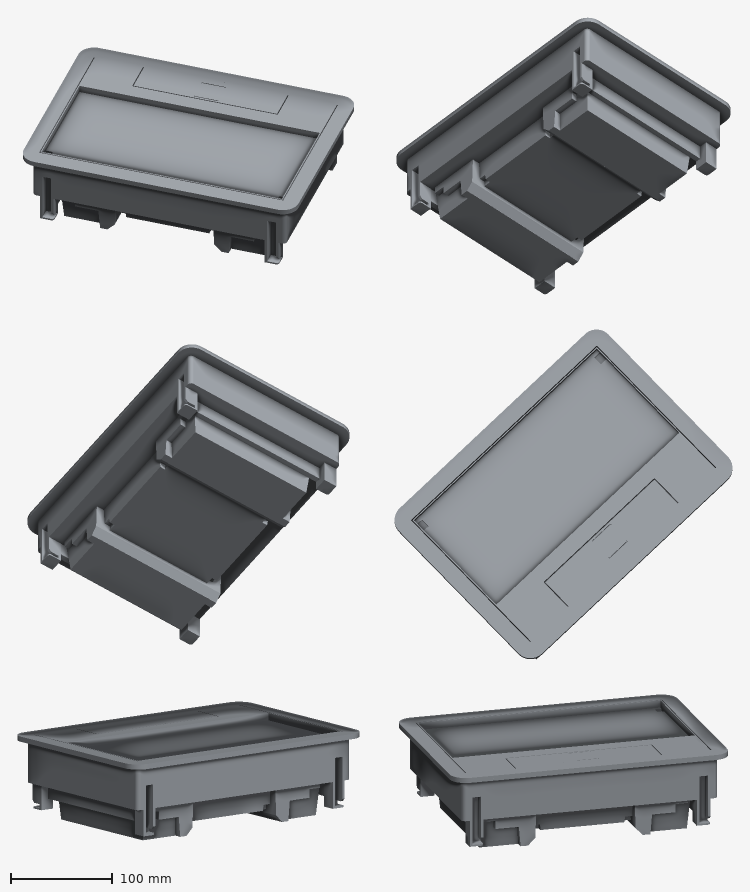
import cadquery as cq
import math

FRAME_LENGTH = 285.0
FRAME_WIDTH = 202.0
FRAME_THICKNESS = 3.0
FRAME_CORNER_RADIUS = 16.2
FLANGE_THICKNESS = 2.0
TOTAL_HEIGHT = 84.5

HOUSING_LENGTH = 262.8
HOUSING_WIDTH = 181.3
HOUSING_CORNER_RADIUS = 4.3
HOUSING_BOTTOM = -48.0
FLANGE_BOTTOM = -(FRAME_THICKNESS + FLANGE_THICKNESS)

POST_SIZE = 14.2
POST_OUTER_X = 123.7
POST_BOTTOM = -74.7
POST_CENTER_X = POST_OUTER_X - POST_SIZE / 2
POST_CENTER_Y = (HOUSING_WIDTH - POST_SIZE) / 2
POST_CORNER_RADIUS = 2.8
CHANNEL_WIDTH = 9.0
CHANNEL_DEPTH = 11.5
CHANNEL_TOP = -24.0
CHANNEL_FLOOR = -73.0
WINDOW_TOP = -69.0
WINDOW_CHAMFER = 2.8

SKIRT_OUTER_X = 115.0
SKIRT_INNER_X = 109.7
SKIRT_BOTTOM = -64.0

OPENING_LENGTH = 253.0
OPENING_WIDTH = 169.3
OPENING_BACK = OPENING_WIDTH / 2
LID_GAP = 1.0
RIM_WIDTH = 1.0
LID_THICKNESS = 11.5
COVERING_RECESS = 7.5
BAR_LENGTH = OPENING_LENGTH - 2 * (LID_GAP + RIM_WIDTH)
BAR_FRONT = 34.5
CORNER_POCKET_LENGTH = 7.0
CORNER_POCKET_WIDTH = 9.0
CORNER_POCKET_DEPTH = 2.0
CORNER_POCKET_FRONT = -78.7

FLAP_LENGTH = 148.8
FLAP_WIDTH = 33.0
FLAP_THICKNESS = 4.0
FLAP_GAP = 1.0
BUTTON_LENGTH = 25.0
BUTTON_WIDTH = 23.0
BUTTON_CENTER_Y = 65.8
BUTTON_THICKNESS = 2.0
BUTTON_GAP = 0.9
BUTTON_CORNER_RADIUS = 1.0

DRAFT_ANGLE = 5.0
DRAFT_SLOPE = math.tan(math.radians(DRAFT_ANGLE))
TROUGH_OUTER_X = SKIRT_INNER_X
TROUGH_INNER_X = 55.5
TROUGH_WIDTH = 139.6
BASE_BOTTOM = -TOTAL_HEIGHT
TRAY_WIDTH = 132.8
TRAY_BOTTOM = -73.0
TRAY_NOTCH_TOP = -67.0
TRAY_NOTCH_DEPTH = 5.7
TRAY_NOTCH_X = 43.5
FOOT_WIDTH = 149.3
FOOT_INNER_X = 50.5
FOOT_INNER_LEAN = 1.0
FOOT_OUTER_X = 68.5
FOOT_CHAMFER = 7.5
FIRST_STEP_X = 105.5
FIRST_STEP_Z = -55.5
SECOND_STEP_X = 92.5
SECOND_STEP_Z = SKIRT_BOTTOM


def block(x_range, y_range, z_range):
    """Box between pairs of X, Y and Z limits."""
    (x0, x1), (y0, y1), (z0, z1) = x_range, y_range, z_range
    return cq.Workplane("XY").box(x1 - x0, y1 - y0, z1 - z0, centered=False).translate((x0, y0, z0))


def rounded_plate(length, width, z_bottom, z_top, radius):
    """Centred plate with rounded vertical corners."""
    plate = block((-length / 2, length / 2), (-width / 2, width / 2), (z_bottom, z_top))
    return plate.edges("|Z").fillet(radius)


def tapered_block(x_range, width, z_bottom):
    """Block hanging from the housing bottom that narrows downwards on all four sides."""
    x0, x1 = x_range
    return (
        cq.Workplane("XY", origin=((x0 + x1) / 2, 0, HOUSING_BOTTOM))
        .rect(x1 - x0, width)
        .extrude(z_bottom - HOUSING_BOTTOM, taper=DRAFT_ANGLE)
    )


def opening_block(inset, z_range):
    """Block filling the opening, inset at the front and both ends but not at the back."""
    half_length = OPENING_LENGTH / 2 - inset
    return block((-half_length, half_length), (inset - OPENING_BACK, OPENING_BACK), z_range)


def make_frame():
    """Flat rim around the opening."""
    plate = rounded_plate(FRAME_LENGTH, FRAME_WIDTH, -FRAME_THICKNESS, 0, FRAME_CORNER_RADIUS)
    return plate.cut(opening_block(0, (-FRAME_THICKNESS, 0)))


def make_post():
    """Post of the front left corner, rounded low on the edge beside its window."""
    post = block(
        (-POST_SIZE / 2, POST_SIZE / 2),
        (-POST_SIZE / 2, POST_SIZE / 2),
        (CHANNEL_FLOOR, HOUSING_BOTTOM),
    )
    sole = block(
        (-POST_SIZE / 2, POST_SIZE / 2),
        (-POST_SIZE / 2, POST_SIZE / 2),
        (POST_BOTTOM, CHANNEL_FLOOR),
    )
    sole = sole.edges("|Z and >X and <Y").fillet(POST_CORNER_RADIUS)
    return post.union(sole)


def make_channel():
    """Clamp channel of a post, open at the front and, near its floor, through the +X wall."""
    front = -POST_SIZE / 2
    back = front + CHANNEL_DEPTH
    channel = block((-CHANNEL_WIDTH / 2, CHANNEL_WIDTH / 2), (front, back), (CHANNEL_FLOOR, CHANNEL_TOP))
    window = (
        cq.Workplane("YZ")
        .moveTo(front, CHANNEL_FLOOR)
        .lineTo(back, CHANNEL_FLOOR)
        .lineTo(back, WINDOW_TOP)
        .lineTo(front + WINDOW_CHAMFER, WINDOW_TOP)
        .lineTo(front, WINDOW_TOP + WINDOW_CHAMFER)
        .close()
        .extrude(POST_SIZE / 2)
    )
    return channel.union(window)


def at_posts(shape):
    """Copies of a front post shape at all four posts; the back pair is turned half round."""
    copies = []
    for turn in (0, 180):
        for x in (-POST_CENTER_X, POST_CENTER_X):
            copies.append(shape.translate((x, -POST_CENTER_Y, 0)).rotate((0, 0, 0), (0, 0, 1), turn))
    return copies


def make_foot():
    """Stepped foot of the left trough, chamfered at its lower inner corner."""
    outer_foot_x = -FOOT_OUTER_X + DRAFT_SLOPE * (SECOND_STEP_Z - BASE_BOTTOM)
    chamfer_top = BASE_BOTTOM + FOOT_CHAMFER
    inner_foot_x = -FOOT_INNER_X - FOOT_INNER_LEAN
    return (
        cq.Workplane("XZ", origin=(0, FOOT_WIDTH / 2, 0))
        .moveTo(-FIRST_STEP_X, HOUSING_BOTTOM)
        .lineTo(-FIRST_STEP_X, FIRST_STEP_Z)
        .lineTo(-SECOND_STEP_X, FIRST_STEP_Z)
        .lineTo(-SECOND_STEP_X, SECOND_STEP_Z)
        .lineTo(-FOOT_OUTER_X, SECOND_STEP_Z)
        .lineTo(outer_foot_x, BASE_BOTTOM)
        .lineTo(inner_foot_x - FOOT_CHAMFER, BASE_BOTTOM)
        .lineTo(inner_foot_x, chamfer_top)
        .lineTo(-FOOT_INNER_X, HOUSING_BOTTOM)
        .close()
        .extrude(FOOT_WIDTH)
    )


def make_tray_notch():
    """Notch at the lower front left corner of the tray, with a drafted end."""
    half_width = TRAY_WIDTH / 2
    bottom_half = half_width - DRAFT_SLOPE * (HOUSING_BOTTOM - TRAY_BOTTOM)
    return (
        cq.Workplane("XZ", origin=(0, TRAY_NOTCH_DEPTH - bottom_half, 0))
        .moveTo(-TROUGH_INNER_X, TRAY_NOTCH_TOP)
        .lineTo(-TRAY_NOTCH_X, TRAY_NOTCH_TOP)
        .lineTo(-TRAY_NOTCH_X + DRAFT_SLOPE * (TRAY_NOTCH_TOP - TRAY_BOTTOM), TRAY_BOTTOM)
        .lineTo(-TROUGH_INNER_X, TRAY_BOTTOM)
        .close()
        .extrude(half_width)
    )


def make_tray():
    """Shallow tray spanning the troughs, notched at its four lower corners."""
    tray = tapered_block((-TROUGH_OUTER_X, TROUGH_OUTER_X), TRAY_WIDTH, TRAY_BOTTOM)
    front_left = make_tray_notch()
    for notch in (front_left, front_left.mirror("YZ")):
        tray = tray.cut(notch).cut(notch.mirror("XZ"))
    return tray


def make_underside():
    """Everything under the floor of the box between the skirt walls: a tray and two troughs with feet."""
    trough = tapered_block((-TROUGH_OUTER_X, -TROUGH_INNER_X), TROUGH_WIDTH, BASE_BOTTOM)
    trough = trough.union(make_foot())
    return make_tray().union(trough).union(trough.mirror("YZ"))


def make_housing():
    """Flanged box with four channelled posts, two skirt walls, an underside and a seat for the lid."""
    housing = rounded_plate(
        HOUSING_LENGTH, HOUSING_WIDTH, HOUSING_BOTTOM, FLANGE_BOTTOM, HOUSING_CORNER_RADIUS
    )
    housing = housing.union(
        rounded_plate(FRAME_LENGTH, FRAME_WIDTH, FLANGE_BOTTOM, -FRAME_THICKNESS, FRAME_CORNER_RADIUS)
    )
    for post in at_posts(make_post()):
        housing = housing.union(post)
    for channel in at_posts(make_channel()):
        housing = housing.cut(channel)
    skirt_half_width = HOUSING_WIDTH / 2 - POST_SIZE
    for x_range in ((-SKIRT_OUTER_X, -SKIRT_INNER_X), (SKIRT_INNER_X, SKIRT_OUTER_X)):
        housing = housing.union(
            block(x_range, (-skirt_half_width, skirt_half_width), (SKIRT_BOTTOM, HOUSING_BOTTOM))
        )
    housing = housing.union(make_underside())
    return housing.cut(opening_block(0, (-LID_THICKNESS, -FRAME_THICKNESS)))


def flap_outline(gap, z_bottom):
    """Flap, or with a gap its pocket, reaching back to the edge of the opening."""
    half_length = FLAP_LENGTH / 2 + gap
    return block(
        (-half_length, half_length), (OPENING_BACK - FLAP_WIDTH - gap, OPENING_BACK), (z_bottom, 0)
    )


def make_lid():
    """Lid tray with a thin rim along the front and both ends, open at the back."""
    lid = opening_block(LID_GAP, (-LID_THICKNESS, 0))
    lid = lid.cut(opening_block(LID_GAP + RIM_WIDTH, (-COVERING_RECESS, 0)))
    for x_range in (
        (-BAR_LENGTH / 2, CORNER_POCKET_LENGTH - BAR_LENGTH / 2),
        (BAR_LENGTH / 2 - CORNER_POCKET_LENGTH, BAR_LENGTH / 2),
    ):
        lid = lid.cut(
            block(
                x_range,
                (CORNER_POCKET_FRONT, CORNER_POCKET_FRONT + CORNER_POCKET_WIDTH),
                (-COVERING_RECESS - CORNER_POCKET_DEPTH, -COVERING_RECESS),
            )
        )
    return lid


def make_bar():
    """Bar filling the back of the lid tray between the ends of its rim, with the flap pocket."""
    bar = block((-BAR_LENGTH / 2, BAR_LENGTH / 2), (BAR_FRONT, OPENING_BACK), (-COVERING_RECESS, 0))
    pocket = flap_outline(FLAP_GAP, -FLAP_THICKNESS).edges("|Z and <Y").fillet(FLAP_GAP)
    return bar.cut(pocket)


def button_outline(gap):
    """Button, or with a gap in Y its pocket."""
    return rounded_plate(
        BUTTON_LENGTH, BUTTON_WIDTH + 2 * gap, -BUTTON_THICKNESS, 0, BUTTON_CORNER_RADIUS
    ).translate((0, BUTTON_CENTER_Y, 0))


frame = make_frame()
housing = make_housing()
lid = make_lid()
bar = make_bar()
flap = flap_outline(0, -FLAP_THICKNESS).cut(button_outline(BUTTON_GAP))
button = button_outline(0)

result = cq.Compound.makeCompound(
    [frame.val(), housing.val(), lid.val(), bar.val(), flap.val(), button.val()]
)